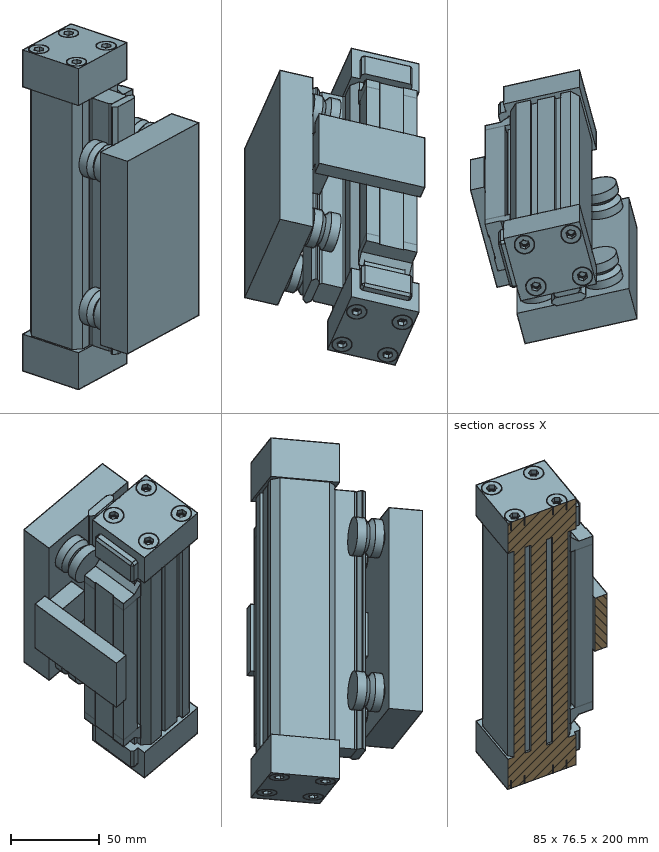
import cadquery as cq
import math


TOTAL_LENGTH = 200
CAP_HEIGHT = 23
CAP_WIDTH = 40
CAP_FRONT = -20
CAP_BACK = 24
BARREL_HALF_LENGTH = TOTAL_LENGTH / 2 - CAP_HEIGHT

BARREL_HALF_WIDTH = 18.75
BARREL_FRONT = -BARREL_HALF_WIDTH
BARREL_BACK = 21.5
BARREL_CHAMFER = 4.25
RIB_WIDTH = 24
RIB_BACK = 23.5

CHANNEL_HALF_WIDTH = 8.75
LAND_DEPTH = 0.8
SLOT_DEPTH = 2.6
LAND_TOP_HALF_WIDTH = 4.9
LAND_FOOT_HALF_WIDTH = 5.4

STEM_WIDTH = 15
STEM_CHAMFER = 1.5
STEM_FOOT_WIDTH = 16.2
STEM_FOOT_HEIGHT = 1

STOP_WIDTH = 30
STOP_HEIGHT = 15.8
STOP_THICKNESS = 4.6
STOP_CHAMFER = 1.5

SCREW_PITCH = 27
SCREW_BORE_DIAMETER = 11.5
SCREW_HEAD_DIAMETER = 11
SCREW_HEAD_HEIGHT = 6
SOCKET_ACROSS_FLATS = 5
SOCKET_DEPTH = 3
SOCKET_HOLE_DIAMETER = 4
SOCKET_HOLE_DEPTH = 1

SLIDER_WIDTH = 30
SLIDER_BACK = 36
SLIDER_HALF_LENGTH = 65
SLIDER_MIDDLE_HALF_LENGTH = 59
SLIDER_MIDDLE_FRONT = 24.5
SLIDER_NECK_WIDTH = 20
SLIDER_TOE_BACK = 26.9
SLIDER_GROOVE_WIDTH = 14
SLIDER_GROOVE_DEPTH = 0.5

RAIL_WIDTH = 5
RAIL_TIP_FLAT = 0.8

PLATE_LEFT = 45.5
PLATE_RIGHT = 65
PLATE_WIDTH = 65
PLATE_LENGTH = 120

ROLLER_DIAMETER = 22
ROLLER_GROOVE_DIAMETER = 16.5
ROLLER_GROOVE_WIDTH = 5
ROLLER_GROOVE_CENTER = 36
ROLLER_LEFT = 28
ROLLER_RIGHT = 43.5
ROLLER_SHAFT_DIAMETER = 10
ROLLER_Y = 18.6
ROLLER_Z = 46

ARM_LEFT = -17
ARM_BACK = 44
ARM_HEIGHT = 40
ARM_LEG_LEFT = 35.5
ARM_LEG_FRONT = 14
ARM_LEG_HEIGHT = 26


def box(x0, x1, y0, y1, z0, z1):
    """Box between the given limits."""
    return cq.Workplane("XY").box(x1 - x0, y1 - y0, z1 - z0, centered=False).translate((x0, y0, z0))


def prism(points, half_length):
    """Closed XY outline extruded along Z, centered on Z = 0."""
    return cq.Workplane("XY").polyline(points).close().extrude(half_length, both=True)


def mirrored(half_outline):
    """Half of a symmetric outline on the other side of Y = 0, in reverse order."""
    return [(x, -y) for x, y in reversed(half_outline)]


def make_channel():
    """Cutter for the dovetail channel on the -X side of the barrel."""
    face = -BARREL_HALF_WIDTH
    land = face + LAND_DEPTH
    floor = face + SLOT_DEPTH
    return prism(
        [
            (face, -CHANNEL_HALF_WIDTH),
            (floor, -CHANNEL_HALF_WIDTH),
            (floor, -LAND_FOOT_HALF_WIDTH),
            (land, -LAND_TOP_HALF_WIDTH),
            (land, LAND_TOP_HALF_WIDTH),
            (floor, LAND_FOOT_HALF_WIDTH),
            (floor, CHANNEL_HALF_WIDTH),
            (face, CHANNEL_HALF_WIDTH),
        ],
        BARREL_HALF_LENGTH,
    )


def make_rib():
    """Rib along the back of the barrel."""
    return box(
        -RIB_WIDTH / 2, RIB_WIDTH / 2,
        BARREL_BACK, RIB_BACK,
        -BARREL_HALF_LENGTH, BARREL_HALF_LENGTH,
    )


def make_barrel():
    body = box(
        -BARREL_HALF_WIDTH, BARREL_HALF_WIDTH,
        BARREL_FRONT, BARREL_BACK,
        -BARREL_HALF_LENGTH, BARREL_HALF_LENGTH,
    ).edges("|Z").chamfer(BARREL_CHAMFER)
    channel = make_channel()
    return body.union(make_rib()).cut(channel).cut(channel.mirror("YZ"))


def make_cap():
    """Top cap with its stop block and the flush heads of four socket screws."""
    top = TOTAL_LENGTH / 2
    cap = box(-CAP_WIDTH / 2, CAP_WIDTH / 2, CAP_FRONT, CAP_BACK, BARREL_HALF_LENGTH, top)
    stop = (
        box(
            -STOP_WIDTH / 2, STOP_WIDTH / 2,
            CAP_BACK, CAP_BACK + STOP_THICKNESS,
            BARREL_HALF_LENGTH, BARREL_HALF_LENGTH + STOP_HEIGHT,
        )
        .edges("(>Y and (not <Z)) or (|Y and >Z)")
        .chamfer(STOP_CHAMFER)
    )
    screw_face = cq.Workplane("XY", origin=(0, 0, top)).rarray(SCREW_PITCH, SCREW_PITCH, 2, 2)
    head_gap = (
        screw_face.circle(SCREW_BORE_DIAMETER / 2)
        .circle(SCREW_HEAD_DIAMETER / 2)
        .extrude(-SCREW_HEAD_HEIGHT)
    )
    across_corners = SOCKET_ACROSS_FLATS / math.cos(math.pi / 6)
    socket = screw_face.polygon(6, across_corners).extrude(-SOCKET_DEPTH)
    hole = screw_face.circle(SOCKET_HOLE_DIAMETER / 2).extrude(-SOCKET_DEPTH - SOCKET_HOLE_DEPTH)
    return cap.union(stop).cut(head_gap).cut(socket).cut(hole)


def make_stem():
    """Stem on the +X side of the barrel that carries the rail, with a foot flared at the barrel."""
    land = BARREL_HALF_WIDTH - LAND_DEPTH
    foot_top = BARREL_HALF_WIDTH + STEM_FOOT_HEIGHT
    end = ROLLER_GROOVE_CENTER - RAIL_WIDTH / 2
    upper_half = [
        (land, STEM_FOOT_WIDTH / 2),
        (BARREL_HALF_WIDTH, STEM_FOOT_WIDTH / 2),
        (foot_top, STEM_WIDTH / 2),
        (end - STEM_CHAMFER, STEM_WIDTH / 2),
        (end, STEM_WIDTH / 2 - STEM_CHAMFER),
    ]
    return prism(upper_half + mirrored(upper_half), BARREL_HALF_LENGTH)


def make_cylinder():
    cap = make_cap()
    return make_barrel().union(make_stem()).union(cap).union(cap.mirror("XY"))


def make_slider_end():
    """Upper end piece, straddling the barrel rib, with a sloping toe."""
    toe_reach = SLIDER_TOE_BACK - BARREL_BACK
    end = (
        cq.Workplane("YZ")
        .polyline(
            [
                (BARREL_BACK, SLIDER_MIDDLE_HALF_LENGTH),
                (SLIDER_BACK, SLIDER_MIDDLE_HALF_LENGTH),
                (SLIDER_BACK, SLIDER_HALF_LENGTH),
                (SLIDER_TOE_BACK, SLIDER_HALF_LENGTH),
                (BARREL_BACK, SLIDER_HALF_LENGTH + toe_reach),
            ]
        )
        .close()
        .extrude(SLIDER_WIDTH / 2, both=True)
    )
    return end.cut(make_rib())


def make_slider():
    middle = box(
        -SLIDER_WIDTH / 2, SLIDER_WIDTH / 2,
        SLIDER_MIDDLE_FRONT, SLIDER_BACK,
        -SLIDER_MIDDLE_HALF_LENGTH, SLIDER_MIDDLE_HALF_LENGTH,
    )
    neck = box(
        -SLIDER_NECK_WIDTH / 2, SLIDER_NECK_WIDTH / 2,
        RIB_BACK, SLIDER_MIDDLE_FRONT,
        -SLIDER_MIDDLE_HALF_LENGTH, SLIDER_MIDDLE_HALF_LENGTH,
    )
    groove = box(
        -SLIDER_GROOVE_WIDTH / 2, SLIDER_GROOVE_WIDTH / 2,
        SLIDER_BACK - SLIDER_GROOVE_DEPTH, SLIDER_BACK,
        -SLIDER_HALF_LENGTH, SLIDER_HALF_LENGTH,
    )
    end = make_slider_end()
    body = middle.union(neck).union(end, clean=False).union(end.mirror("XY"), clean=False)
    return body.cut(groove, clean=False)


def make_rail():
    """Bar on the end of the stem whose V edges run in the roller grooves."""
    half_width = RAIL_WIDTH / 2
    half_flat = RAIL_TIP_FLAT / 2
    shoulder_y = ROLLER_Y - ROLLER_DIAMETER / 2
    groove_bottom_y = ROLLER_Y - ROLLER_GROOVE_DIAMETER / 2
    tip_y = groove_bottom_y - (groove_bottom_y - shoulder_y) * half_flat / half_width
    upper_half = [
        (-half_width, shoulder_y),
        (-half_flat, tip_y),
        (half_flat, tip_y),
        (half_width, shoulder_y),
    ]
    rail = prism(upper_half + mirrored(upper_half), BARREL_HALF_LENGTH)
    return rail.translate((ROLLER_GROOVE_CENTER, 0, 0))


def make_roller():
    """V-grooved roller and its shaft, on an X axis at Y = Z = 0."""
    rim = ROLLER_DIAMETER / 2
    shaft = ROLLER_SHAFT_DIAMETER / 2
    half_groove = ROLLER_GROOVE_WIDTH / 2
    return (
        cq.Workplane("XY")
        .polyline(
            [
                (ROLLER_LEFT, 0),
                (ROLLER_LEFT, rim),
                (ROLLER_GROOVE_CENTER - half_groove, rim),
                (ROLLER_GROOVE_CENTER, ROLLER_GROOVE_DIAMETER / 2),
                (ROLLER_GROOVE_CENTER + half_groove, rim),
                (ROLLER_RIGHT, rim),
                (ROLLER_RIGHT, shaft),
                (PLATE_LEFT, shaft),
                (PLATE_LEFT, 0),
            ]
        )
        .close()
        .revolve(360, (0, 0, 0), (1, 0, 0))
    )


def make_arm():
    """Arm reaching from the plate across the back of the slider."""
    bar = box(ARM_LEFT, PLATE_LEFT, SLIDER_BACK, ARM_BACK, -ARM_HEIGHT / 2, ARM_HEIGHT / 2)
    leg = box(
        ARM_LEG_LEFT, PLATE_LEFT,
        ARM_LEG_FRONT, SLIDER_BACK,
        -ARM_LEG_HEIGHT / 2, ARM_LEG_HEIGHT / 2,
    )
    return bar.union(leg)


def make_carriage():
    plate = box(
        PLATE_LEFT, PLATE_RIGHT,
        -PLATE_WIDTH / 2, PLATE_WIDTH / 2,
        -PLATE_LENGTH / 2, PLATE_LENGTH / 2,
    )
    carriage = plate.union(make_arm())
    roller = make_roller()
    for y in (-ROLLER_Y, ROLLER_Y):
        for z in (-ROLLER_Z, ROLLER_Z):
            carriage = carriage.union(roller.translate((0, y, z)))
    return carriage


cylinder = make_cylinder()
slider = make_slider()
rail = make_rail()
carriage = make_carriage()

result = cq.Compound.makeCompound([cylinder.val(), slider.val(), rail.val(), carriage.val()])